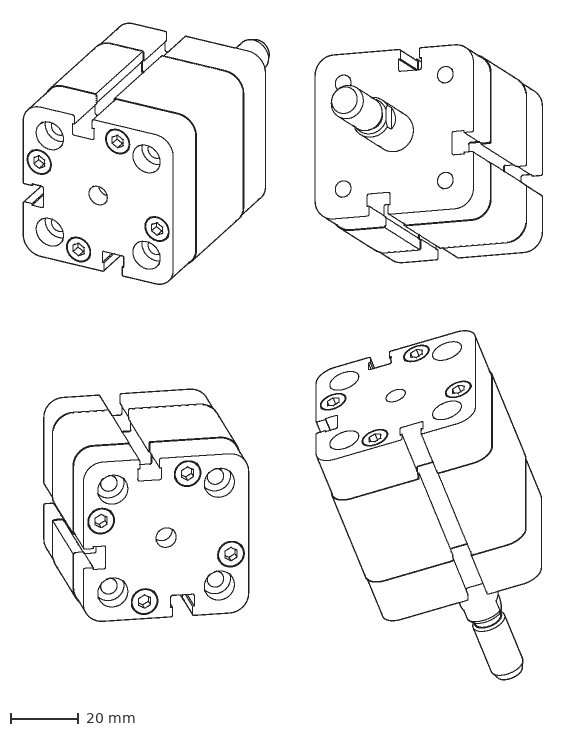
import cadquery as cq
import math


TOTAL_LENGTH = 102.5
ROD_LENGTH = 42.9
BODY_LENGTH = TOTAL_LENGTH - ROD_LENGTH
CAP_LENGTH = 14.6
BARREL_LENGTH = BODY_LENGTH - 2 * CAP_LENGTH
BARREL_SIDE = 50.1
CAP_SIDE = 49.6
FLAT_HALF_WIDTH = 19.0

SLOT_ANGLES = (0, 90, 180)
NECK_WIDTH = 5.9
POCKET_WIDTH = 7.1
CAP_POCKET_FLOOR = 18.1
BARREL_POCKET_FLOOR = 17.8
POCKET_TOP = 21.8
POCKET_CORNER_RADIUS = 0.5
MOUTH_RADIUS = 0.5
CAP_SLOT_OFFSET = 4.9
BARREL_SLOT_OFFSET = 5.2

MOUNT_SPACING = 32.0
MOUNT_HOLE_DIAMETER = 4.9
MOUNT_BORE_DIAMETER = 9.0
MOUNT_BORE_DEPTH = 5.8

SCREW_NEAR = 6.5
SCREW_FAR = 19.5
SCREW_BORE_DIAMETER = 8.0
SCREW_HEAD_DIAMETER = 7.5
SCREW_HEAD_HEIGHT = 4.1
SOCKET_ACROSS_FLATS = 3.6
SOCKET_DEPTH = 3.1

CENTRE_HOLE_DIAMETER = 6.0
CENTRE_HOLE_DEPTH = 6.2

THREAD_DIAMETER = 10.0
TIP_DIAMETER = 8.0
TIP_CHAMFER_LENGTH = 2.5
THREAD_END = 18.8
THREAD_END_DIAMETER = 8.6
UNDERCUT_START = 19.5
UNDERCUT_DIAMETER = 7.9
SHANK_START = 21.9
SHANK_DIAMETER = 12.0
SHANK_CHAMFER_LENGTH = 1.2
SHANK_CHAMFER_DEPTH = 0.7
FLAT_END = 26.5
ACROSS_FLATS = 10.0


def extrude_along_y(sketch, start, length):
    """Extrude a sketch drawn in X and Z from y = start toward +Y."""
    return sketch.extrude(-length).translate((0, start, 0))


def slot_cutter(side, offset, pocket_floor, round_both, start, length):
    """Cutter for one sensor slot in the +Z side, offset toward -X.

    The +X mouth edge is always rounded, the -X mouth edge only if round_both is set.
    """
    face = side / 2
    neck = NECK_WIDTH / 2
    mouth = neck + MOUTH_RADIUS
    round_centre = face - MOUTH_RADIUS
    opening = (
        cq.Workplane("XZ")
        .moveTo(-neck, pocket_floor)
        .lineTo(-neck, round_centre)
    )
    if round_both:
        opening = opening.radiusArc((-mouth, face), -MOUTH_RADIUS)
    else:
        opening = opening.lineTo(-neck, face)
    opening = (
        opening.lineTo(mouth, face)
        .radiusArc((neck, round_centre), -MOUTH_RADIUS)
        .lineTo(neck, pocket_floor)
        .close()
    )
    pocket_height = POCKET_TOP - pocket_floor
    pocket = (
        cq.Workplane("XZ")
        .center(0, pocket_floor + pocket_height / 2)
        .rect(POCKET_WIDTH, pocket_height)
    )
    pocket_solid = extrude_along_y(pocket, start, length)
    pocket_solid = pocket_solid.faces("<Z").edges("|Y").fillet(POCKET_CORNER_RADIUS)
    cutter = extrude_along_y(opening, start, length).union(pocket_solid)
    return cutter.translate((-offset, 0, 0))


def body_section(side, slot, start, length):
    """Rounded square block, cut by the slot cutter on each slotted side."""
    square = cq.Workplane("XZ").rect(side, side)
    block = extrude_along_y(square, start, length).edges("|Y").fillet(side / 2 - FLAT_HALF_WIDTH)
    for angle in SLOT_ANGLES:
        block = block.cut(slot.rotate((0, 0, 0), (0, -1, 0), angle))
    return block


def build_cap(start):
    slot = slot_cutter(CAP_SIDE, CAP_SLOT_OFFSET, CAP_POCKET_FLOOR, True, start, CAP_LENGTH)
    return body_section(CAP_SIDE, slot, start, CAP_LENGTH)


def build_barrel(start):
    slot = slot_cutter(
        BARREL_SIDE, BARREL_SLOT_OFFSET, BARREL_POCKET_FLOOR, False, start, BARREL_LENGTH
    )
    return body_section(BARREL_SIDE, slot, start, BARREL_LENGTH)


def drill(points, diameter, depth):
    """Cylinders going into the body from the bottom face."""
    return extrude_along_y(cq.Workplane("XZ").pushPoints(points).circle(diameter / 2), 0, depth)


def screw_heads(points):
    """Screw heads with hexagon sockets, two socket corners pointing along Z."""
    across_corners = SOCKET_ACROSS_FLATS / math.cos(math.pi / 6)
    heads = drill(points, SCREW_HEAD_DIAMETER, SCREW_HEAD_HEIGHT)
    socket = extrude_along_y(cq.Workplane("XZ").polygon(6, across_corners), 0, SOCKET_DEPTH)
    upright_socket = socket.rotate((0, 0, 0), (0, 1, 0), 30)
    for x, z in points:
        heads = heads.cut(upright_socket.translate((x, 0, z)))
    return heads


def build_body():
    bottom_cap = build_cap(0)
    barrel = build_barrel(CAP_LENGTH)
    rod_cap = build_cap(CAP_LENGTH + BARREL_LENGTH)
    body = bottom_cap.union(barrel).union(rod_cap)

    half = MOUNT_SPACING / 2
    mount_points = [(-half, -half), (-half, half), (half, -half), (half, half)]
    body = body.cut(drill(mount_points, MOUNT_HOLE_DIAMETER, BODY_LENGTH))
    body = body.cut(drill(mount_points, MOUNT_BORE_DIAMETER, MOUNT_BORE_DEPTH))

    screw_points = [
        (SCREW_NEAR, SCREW_FAR),
        (SCREW_FAR, -SCREW_NEAR),
        (-SCREW_NEAR, -SCREW_FAR),
        (-SCREW_FAR, SCREW_NEAR),
    ]
    body = body.cut(drill(screw_points, SCREW_BORE_DIAMETER, SCREW_HEAD_HEIGHT))
    body = body.union(screw_heads(screw_points))

    return body.cut(drill([(0, 0)], CENTRE_HOLE_DIAMETER, CENTRE_HOLE_DEPTH))


def flat_cutter():
    """Cutter for the wrench flat on the +X side, ending in a 45 degree slope toward the body."""
    flat = ACROSS_FLATS / 2
    clear = SHANK_DIAMETER
    flat_end_y = TOTAL_LENGTH - FLAT_END
    shank_start_y = TOTAL_LENGTH - SHANK_START
    return (
        cq.Workplane("XY")
        .moveTo(flat, shank_start_y)
        .lineTo(flat, flat_end_y)
        .lineTo(clear, flat_end_y - (clear - flat))
        .lineTo(clear, shank_start_y)
        .close()
        .extrude(SHANK_DIAMETER / 2, both=True)
    )


def build_rod():
    outline = [
        (0, 0),
        (TIP_DIAMETER / 2, 0),
        (THREAD_DIAMETER / 2, TIP_CHAMFER_LENGTH),
        (THREAD_DIAMETER / 2, THREAD_END),
        (THREAD_END_DIAMETER / 2, UNDERCUT_START),
        (UNDERCUT_DIAMETER / 2, UNDERCUT_START),
        (UNDERCUT_DIAMETER / 2, SHANK_START),
        (SHANK_DIAMETER / 2 - SHANK_CHAMFER_DEPTH, SHANK_START),
        (SHANK_DIAMETER / 2, SHANK_START + SHANK_CHAMFER_LENGTH),
        (SHANK_DIAMETER / 2, ROD_LENGTH),
        (0, ROD_LENGTH),
    ]
    points = [(radius, TOTAL_LENGTH - distance) for radius, distance in outline]
    rod = cq.Workplane("XY").polyline(points).close().revolve(360, (0, 0, 0), (0, 1, 0))
    cutter = flat_cutter()
    return rod.cut(cutter).cut(cutter.mirror("YZ"))


result = build_body().union(build_rod())